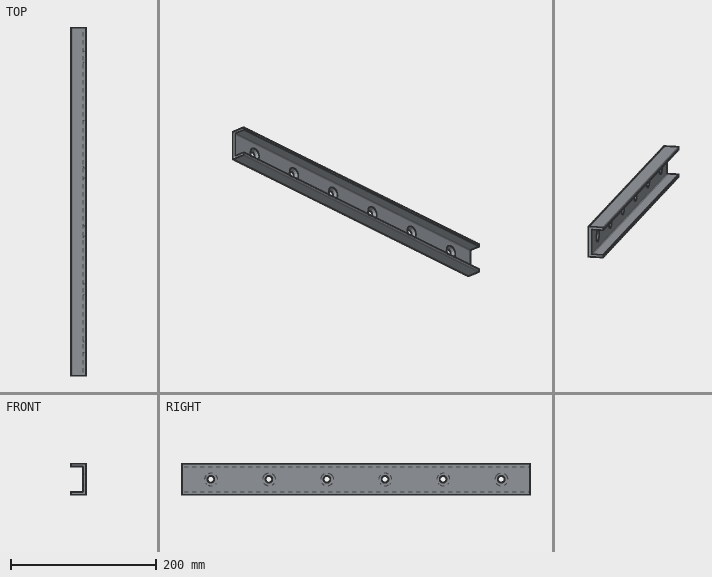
import cadquery as cq

depth = 21.0
length = 480.0
height = 43.0

flange_thickness = 4.0
web_thickness = 4.6
inner_fillet = 1.0
outer_edge_fillet = 0.9

hole_count = 6
hole_pitch = length / hole_count
hole_diameter = 9.0
countersink_diameter = 17.6
countersink_angle = 90.0

open_side_x = -depth / 2
web_inner_x = depth / 2 - web_thickness


def channel():
    """Solid bar with the groove between the flanges removed."""
    bar = (
        cq.Workplane("XY")
        .box(depth, length, height)
        .edges("|Y")
        .fillet(outer_edge_fillet)
    )
    groove_depth = depth - web_thickness
    groove_height = height - 2 * flange_thickness
    groove = (
        cq.Workplane("XY")
        .box(groove_depth, length, groove_height)
        .translate((open_side_x + groove_depth / 2, 0, 0))
        .edges("|Y and >X")
        .fillet(inner_fillet)
    )
    return bar.cut(groove)


def drill_mounting_holes(body):
    """Row of holes along the web, countersunk from inside the channel."""
    return (
        body.copyWorkplane(cq.Workplane("YZ", origin=(web_inner_x, 0, 0)))
        .transformed(rotate=(0, 180, 0))
        .rarray(hole_pitch, 1, hole_count, 1)
        .cskHole(hole_diameter, countersink_diameter, countersink_angle, depth=web_thickness)
    )


result = drill_mounting_holes(channel())